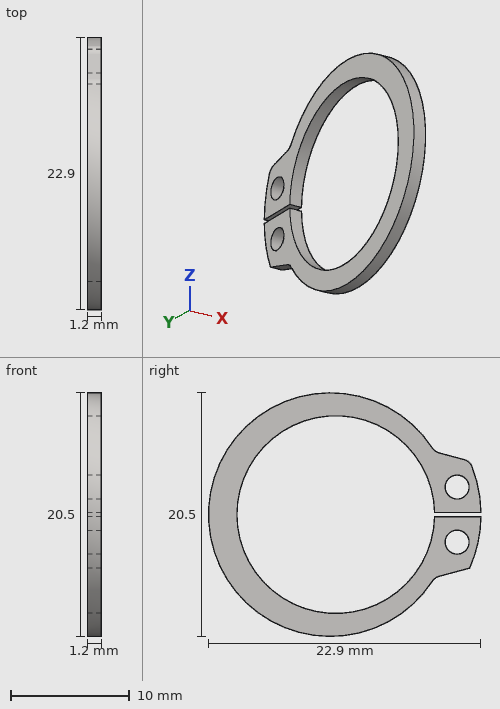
import cadquery as cq
import math

thickness = 1.2
overall_length = 22.9
outer_radius = 10.24
bore_radius = 8.3
ring_offset = -0.45
gap_width = 0.35

lug_tip_y = overall_length - outer_radius + ring_offset
lug_tip_radius = 11.04
lug_root_z = 5.3
lug_taper_angle = 15.0
lug_corner_radius = 1.0
lug_root_radius = 1.0
lug_inner_y = 4.58

hole_diameter = 2.0
hole_y = 10.2
hole_z = 2.31

root_y = ring_offset + math.sqrt(outer_radius**2 - lug_root_z**2)


def disc(radius, center_y):
    """Disc of the ring's thickness, centred at center_y on the Y axis."""
    plane = cq.Workplane("YZ", origin=(-thickness / 2, 0, 0))
    return plane.center(center_y, 0).circle(radius).extrude(thickness)


def make_lugs():
    """Tapered blank for both lugs, trimmed to the curved tip."""
    tip_z = lug_root_z - (lug_tip_y - root_y) * math.tan(math.radians(lug_taper_angle))
    blank = (
        cq.Workplane("YZ", origin=(-thickness / 2, 0, 0))
        .moveTo(lug_inner_y, -lug_root_z)
        .lineTo(root_y, -lug_root_z)
        .lineTo(lug_tip_y, -tip_z)
        .lineTo(lug_tip_y, tip_z)
        .lineTo(root_y, lug_root_z)
        .lineTo(lug_inner_y, lug_root_z)
        .close()
        .extrude(thickness)
    )
    lugs = blank.intersect(disc(lug_tip_radius, lug_tip_y - lug_tip_radius))
    corner = cq.selectors.NearestToPointSelector((0, lug_tip_y, tip_z))
    return lugs.edges("|X").edges(corner).fillet(lug_corner_radius)


ring = disc(outer_radius, ring_offset).union(make_lugs())

for root_z in (lug_root_z, -lug_root_z):
    root = cq.selectors.NearestToPointSelector((0, root_y, root_z))
    ring = ring.edges("|X").edges(root).fillet(lug_root_radius)

ring = ring.cut(disc(bore_radius, 0))

gap = cq.Workplane("XY").box(thickness, lug_tip_y, gap_width).translate((0, lug_tip_y / 2, 0))
ring = ring.cut(gap)

plier_holes = (
    cq.Workplane("YZ", origin=(-thickness / 2, 0, 0))
    .pushPoints([(hole_y, hole_z), (hole_y, -hole_z)])
    .circle(hole_diameter / 2)
    .extrude(thickness)
)
result = ring.cut(plier_holes)